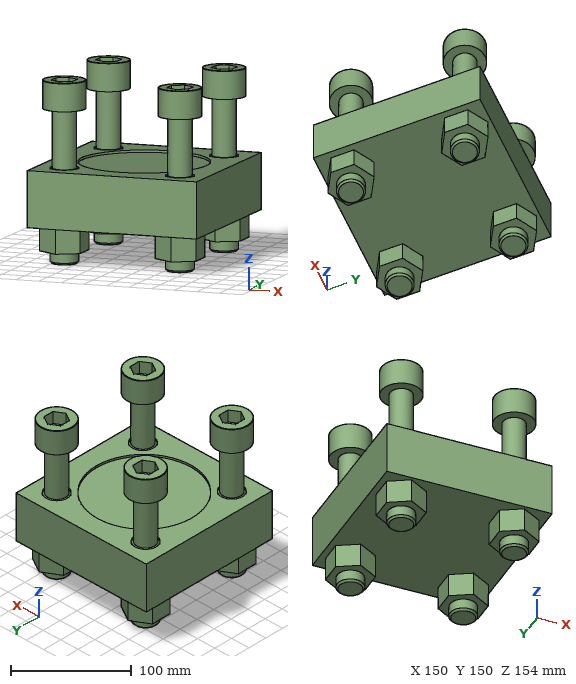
import cadquery as cq
import math

plate_side = 150.0
plate_height = 48.0
recess_diameter = 110.0
recess_depth = 2.0

screw_length = 154.0
screw_spacing = 102.4
head_diameter = 36.0
head_height = 24.0
head_chamfer = 0.5
socket_flats = 19.0
socket_depth = 12.0
shank_diameter = 20.3
thread_diameter = 24.0
thread_end_chamfer = 1.7
thread_overhang = 31.9
taper_height = (thread_diameter - shank_diameter) / 2

nut_flats = 36.0
nut_height = 21.3

screw_bottom = -thread_overhang
screw_top = screw_bottom + screw_length
head_bottom = screw_top - head_height
taper_bottom = plate_height - taper_height

half_spacing = screw_spacing / 2
screw_positions = [(x, y, 0) for x in (-half_spacing, half_spacing) for y in (-half_spacing, half_spacing)]


def cylinder(diameter, bottom, top):
    """Vertical cylinder on the Z axis between two heights."""
    return cq.Workplane("XY").workplane(offset=bottom).circle(diameter / 2).extrude(top - bottom)


def hexagon(flats, bottom, top):
    """Vertical hexagonal prism with two of its flats facing +X and -X."""
    across_corners = flats / math.cos(math.pi / 6)
    prism = cq.Workplane("XY").polygon(6, across_corners).extrude(top - bottom)
    return prism.rotate((0, 0, 0), (0, 0, 1), 30).translate((0, 0, bottom))


def make_plate():
    """Square plate with a shallow round recess and a hole for each screw."""
    plate = cq.Workplane("XY").box(plate_side, plate_side, plate_height, centered=(True, True, False))
    plate = plate.cut(cylinder(recess_diameter, plate_height - recess_depth, plate_height))
    hole = cylinder(thread_diameter, 0, plate_height)
    for position in screw_positions:
        plate = plate.cut(hole.translate(position))
    return plate


def make_screw():
    """Socket-head screw whose thick thread tapers to a slim shank at the top of the plate."""
    head = cylinder(head_diameter, head_bottom, screw_top).faces(">Z").chamfer(head_chamfer)
    head = head.cut(hexagon(socket_flats, screw_top - socket_depth, screw_top))
    shank = cylinder(shank_diameter, plate_height, head_bottom)
    taper = (
        cq.Workplane("XY").workplane(offset=taper_bottom).circle(thread_diameter / 2)
        .workplane(offset=taper_height).circle(shank_diameter / 2).loft(ruled=True)
    )
    thread = cylinder(thread_diameter, screw_bottom, taper_bottom).faces("<Z").chamfer(thread_end_chamfer)
    return head.union(shank).union(taper).union(thread)


def make_nut():
    """Plain hexagonal nut against the underside of the plate."""
    return hexagon(nut_flats, -nut_height, 0)


result = make_plate()
screw_with_nut = make_screw().union(make_nut())
for position in screw_positions:
    result = result.union(screw_with_nut.translate(position))